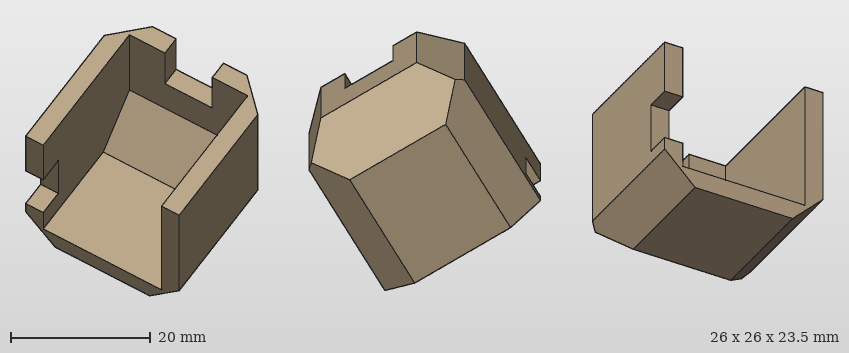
import cadquery as cq

width = 26.0
depth = 26.0
height = 23.5

wall = 3.0
edge_chamfer = 5.0
rear_chamfer = 8.0
inner_ramp = 7.0

notch_width = 8.0
rear_notch_depth = 7.5
side_notch_length = 4.0
side_notch_bottom = 7.0

half_width = width / 2


def side_profile(start_y, end_y, bottom, ramp, thickness):
    """Block centred on X whose lower rear edge is cut at 45 degrees."""
    return (
        cq.Workplane("YZ")
        .moveTo(start_y, bottom)
        .lineTo(end_y - ramp, bottom)
        .lineTo(end_y, bottom + ramp)
        .lineTo(end_y, height)
        .lineTo(start_y, height)
        .close()
        .extrude(thickness / 2, both=True)
    )


plan_outline = (
    cq.Workplane("XY")
    .moveTo(-half_width, 0)
    .lineTo(half_width, 0)
    .lineTo(half_width, depth - edge_chamfer)
    .lineTo(half_width - edge_chamfer, depth)
    .lineTo(edge_chamfer - half_width, depth)
    .lineTo(-half_width, depth - edge_chamfer)
    .close()
    .extrude(height)
)
front_outline = (
    cq.Workplane("XZ")
    .moveTo(edge_chamfer - half_width, 0)
    .lineTo(half_width - edge_chamfer, 0)
    .lineTo(half_width, edge_chamfer)
    .lineTo(half_width, height)
    .lineTo(-half_width, height)
    .lineTo(-half_width, edge_chamfer)
    .close()
    .extrude(-depth)
)
body = side_profile(0, depth, 0, rear_chamfer, width).intersect(plan_outline).intersect(front_outline)

cavity = side_profile(0, depth - wall, wall, inner_ramp, width - 2 * wall)

rear_notch = (
    cq.Workplane("XY")
    .box(notch_width, wall, rear_notch_depth, centered=(True, False, False))
    .translate((0, depth - wall, height - rear_notch_depth))
)

side_notch = (
    cq.Workplane("XY")
    .box(wall, side_notch_length, notch_width, centered=False)
    .translate((-half_width, 0, side_notch_bottom))
)

result = body.cut(cavity).cut(rear_notch).cut(side_notch)